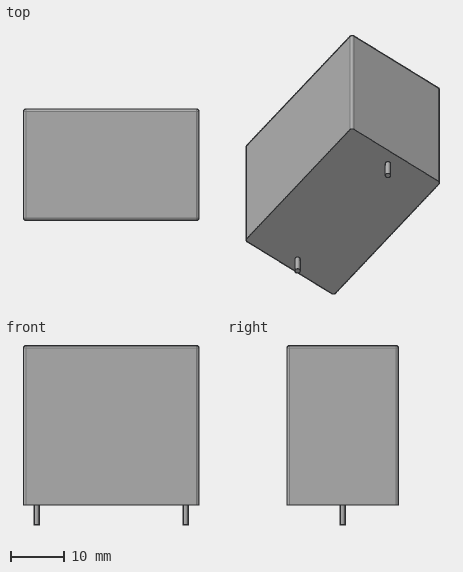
import cadquery as cq

case_length = 33.0
case_width = 21.0
total_height = 33.7
edge_radius = 0.5

lead_length = 3.7
lead_diameter = 1.0
lead_pitch = 28.0

case_height = total_height - lead_length


def make_case():
    """Box standing on Z = 0, with rounded upright and top edges."""
    box = cq.Workplane("XY").box(case_length, case_width, case_height, centered=(True, True, False))
    return box.edges("|Z or >Z").fillet(edge_radius)


def make_lead(x):
    """Round lead hanging from the underside of the case."""
    return cq.Workplane("XY").center(x, 0).circle(lead_diameter / 2).extrude(-lead_length)


case = make_case()
leads = [make_lead(side * lead_pitch / 2) for side in (-1, 1)]

result = cq.Compound.makeCompound([case.val(), *[lead.val() for lead in leads]])